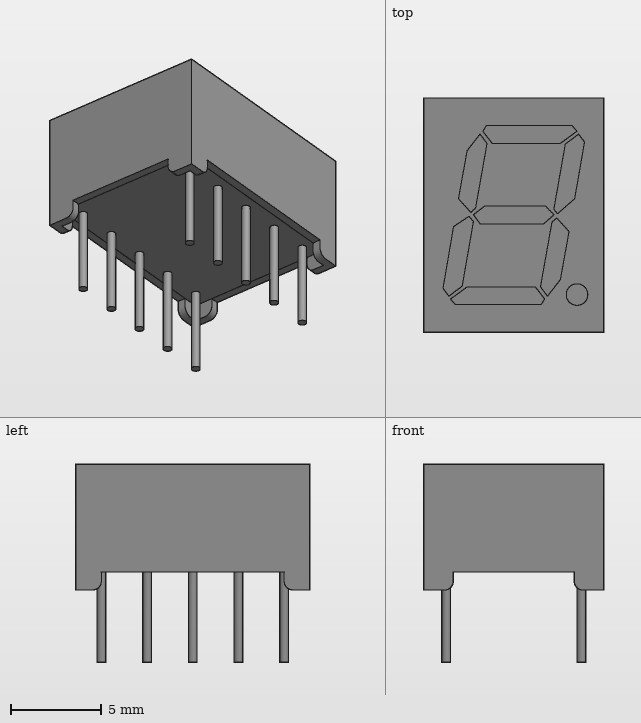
import cadquery as cq


WIDTH = 10.0
LENGTH = 13.0
TOTAL_HEIGHT = 11.0
PIN_LENGTH = 5.0
BODY_HEIGHT = TOTAL_HEIGHT - PIN_LENGTH
WALL = 0.5

FOOT_WIDTH = 1.65
FOOT_LENGTH = 1.43
FOOT_HEIGHT = 1.0
FOOT_RADIUS = FOOT_HEIGHT / 2

PIN_DIAMETER = 0.5
PIN_ROW_SPACING = 7.5
PIN_PITCH = 2.54
PINS_PER_ROW = 5

CAVITY_WIDTH = WIDTH - 2 * WALL
CAVITY_LENGTH = LENGTH - 2 * WALL
CAVITY_HEIGHT = BODY_HEIGHT - WALL
BASE_THICKNESS = 1.5

TOP_SEGMENT = [(-1.52, 4.97), (3.24, 4.97), (3.51, 4.65), (2.57, 3.98), (-1.2, 3.98), (-1.72, 4.65)]
UPPER_LEFT_SEGMENT = [(-1.87, 4.5), (-1.48, 3.98), (-2.12, 0.39), (-2.38, 0.15), (-3.07, 0.91), (-2.59, 3.58)]
UPPER_RIGHT_SEGMENT = [(3.6, 4.5), (3.93, 4.05), (3.38, 0.91), (2.43, 0.08), (2.22, 0.32), (2.86, 3.94)]
MIDDLE_SEGMENT = [(-1.62, 0.5), (1.77, 0.5), (2.24, 0.03), (1.65, -0.5), (-1.86, -0.5), (-2.24, 0.03)]
LOW_LEFT_SEGMENT = [(-2.48, -0.06), (-2.24, -0.35), (-2.86, -3.94), (-3.6, -4.5), (-3.93, -4.05), (-3.34, -0.64)]
DOT_DIAMETER = 1.2
DOT_X = 3.51
DOT_Y = -4.41


def half_turn(outline):
    """The outline turned by 180 degrees about the centre of the digit."""
    return [(-x, -y) for x, y in outline]


SEGMENTS = [
    TOP_SEGMENT,
    UPPER_LEFT_SEGMENT,
    UPPER_RIGHT_SEGMENT,
    MIDDLE_SEGMENT,
    LOW_LEFT_SEGMENT,
    half_turn(UPPER_LEFT_SEGMENT),
    half_turn(TOP_SEGMENT),
]


def block(width, length, bottom, top):
    """A block centred on the Z axis, from one height to another."""
    return cq.Workplane("XY").workplane(offset=bottom).rect(width, length).extrude(top - bottom)


def make_notch(plane, width, depth):
    """The gap between two feet, cut right through along one axis and flaring out round at the bottom."""
    side = width / 2
    flare_bottom = side + FOOT_RADIUS
    flare_top = FOOT_RADIUS - FOOT_HEIGHT
    notch = (
        cq.Workplane(plane)
        .moveTo(-side, 0)
        .lineTo(side, 0)
        .lineTo(side, flare_top)
        .radiusArc((flare_bottom, -FOOT_HEIGHT), -FOOT_RADIUS)
        .lineTo(-flare_bottom, -FOOT_HEIGHT)
        .radiusArc((-side, flare_top), -FOOT_RADIUS)
        .close()
    )
    return notch.extrude(depth / 2, both=True)


def make_pins():
    """All pins, from the pin base to their tips."""
    pins = cq.Workplane("XY").rarray(PIN_ROW_SPACING, PIN_PITCH, 2, PINS_PER_ROW)
    return pins.circle(PIN_DIAMETER / 2).extrude(-PIN_LENGTH)


def make_windows():
    """The segments and the dot, through the top skin of the housing."""
    skin_bottom = cq.Workplane("XY").workplane(offset=CAVITY_HEIGHT)
    windows = skin_bottom.center(DOT_X, DOT_Y).circle(DOT_DIAMETER / 2).extrude(WALL)
    for outline in SEGMENTS:
        windows = windows.add(skin_bottom.polyline(outline).close().extrude(WALL))
    return windows.combine()


def make_housing():
    """The shell, open below, with windows in its top skin and notched walls that leave four feet."""
    housing = block(WIDTH, LENGTH, -FOOT_HEIGHT, BODY_HEIGHT)
    housing = housing.cut(block(CAVITY_WIDTH, CAVITY_LENGTH, -FOOT_HEIGHT, CAVITY_HEIGHT))
    housing = housing.cut(make_notch("XZ", WIDTH - 2 * FOOT_WIDTH, LENGTH))
    housing = housing.cut(make_notch("YZ", LENGTH - 2 * FOOT_LENGTH, WIDTH))
    return housing.cut(make_windows())


def make_light_guide():
    """The block in the upper cavity, with segments and dot rising flush with the top face."""
    return block(CAVITY_WIDTH, CAVITY_LENGTH, BASE_THICKNESS, CAVITY_HEIGHT).union(make_windows())


def make_pin_base():
    """The plate that closes the cavity, level with the tops of the feet, with its pins."""
    return block(CAVITY_WIDTH, CAVITY_LENGTH, 0, BASE_THICKNESS).union(make_pins())


housing = make_housing()
light_guide = make_light_guide()
pin_base = make_pin_base()

result = cq.Compound.makeCompound([body.solids().val() for body in (housing, light_guide, pin_base)])